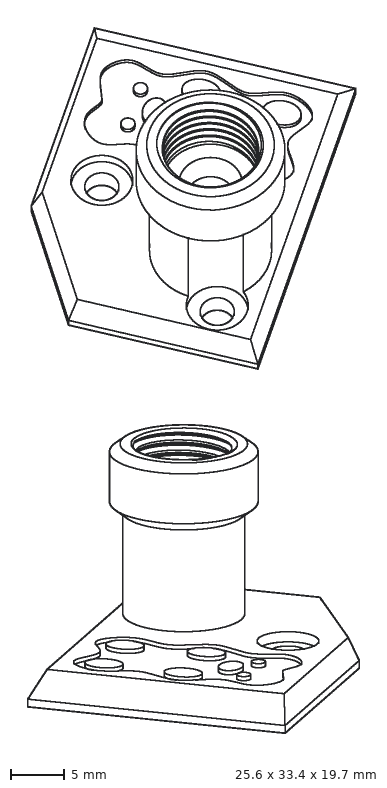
import cadquery as cq

PLATE_LENGTH_X = 25.55
PLATE_LENGTH_Y = 33.4
PLATE_TOP = 3.0
PLATE_BAND = 0.77
CUT_CORNER_X = 7.05
CUT_CORNER_Y = 11.82
BEVEL = 1.0
FAR_BEVEL = 2.67

SCREW_CENTERS = [(6.0, 14.95), (20.45, 3.97)]
SCREW_DIAMETER = 3.2
COUNTERBORE_DIAMETER = 5.8
COUNTERBORE_DEPTH = 1.0
SCREW_SEAT = PLATE_TOP - COUNTERBORE_DEPTH

TOWER_CENTER = (18.07, 9.95)
TOWER_TOP = 19.7
NECK_DIAMETER = 11.5
NECK_TOP = 13.03
HEAD_DIAMETER = 14.0
HEAD_CONE_TOP = 14.03
HEAD_BEVEL_HEIGHT = 0.77
HEAD_TOP_DIAMETER = 12.0

RELIEF_CONE_START = 12.3

SOCKET_DEPTH = 6.0
SOCKET_FLOOR = TOWER_TOP - SOCKET_DEPTH
PASSAGE_DIAMETER = 4.4
COUNTERSINK_DIAMETER = 5.95
COUNTERSINK_DEPTH = 2.0

THREAD_MINOR = 9.05
THREAD_MAJOR = 10.15
THREAD_PITCH = 1.0
GROOVE_LIFT = 0.55
THREAD_START = SOCKET_FLOOR + GROOVE_LIFT
THREAD_TURNS = 6
ENTRY_DIAMETER = 9.92
GROOVE_ROOT_WIDTH = 0.15
GROOVE_MOUTH_WIDTH = 0.77
GROOVE_OVERLAP = 0.07

POCKET_Y = 24.1
POCKET_DEPTH = 0.4
POCKET_LEFT_WAIST = 3.4
POCKET_RIGHT_WAIST = 21.6
POCKET_HALF_WAVE = [
    (2.8, 1.5),
    (2.55, 2.95),
    (4.75, 5.05),
    (7.75, 4.3),
    (11.95, 5.78),
    (16.3, 4.4),
    (19.97, 5.4),
    (23.0, 3.2),
]
PAD_LENGTH = 3.67
PAD_WIDTH = 2.77
PADS = [(12.12, 3.37), (20.1, 3.07)]
NOSE_X = 8.55
NOSE_LENGTH_X = 2.27
NOSE_LENGTH_Y = 3.05
PIN_X = 6.55
PIN_OFFSET = 2.15
PIN_DIAMETER = 1.35


def cylinder(center, diameter, bottom, top):
    return cq.Workplane("XY", origin=(*center, bottom)).circle(diameter / 2).extrude(top - bottom)


def cone(center, bottom_diameter, top_diameter, bottom, top):
    solid = cq.Solid.makeCone(
        bottom_diameter / 2, top_diameter / 2, top - bottom, pnt=cq.Vector(*center, bottom)
    )
    return cq.Workplane(solid)


def make_plate():
    outline = [
        (CUT_CORNER_X, 0),
        (PLATE_LENGTH_X, 0),
        (PLATE_LENGTH_X, PLATE_LENGTH_Y),
        (0, PLATE_LENGTH_Y),
        (0, CUT_CORNER_Y),
    ]
    plate = cq.Workplane("XY").polyline(outline).close().extrude(PLATE_TOP)
    bevel_height = PLATE_TOP - PLATE_BAND
    for index, start in enumerate(outline):
        end = outline[(index + 1) % len(outline)]
        along = cq.Vector(*end) - cq.Vector(*start)
        is_far_side = start[1] == end[1] == PLATE_LENGTH_Y
        inset = FAR_BEVEL if is_far_side else BEVEL
        overrun = along.normalized() * PLATE_LENGTH_Y
        plane = cq.Plane(
            origin=cq.Vector(*start, PLATE_TOP) - overrun,
            xDir=cq.Vector(0, 0, 1).cross(along),
            normal=along,
        )
        wedge = (
            cq.Workplane(plane)
            .polyline([(inset, 0), (0, -bevel_height), (-inset, -bevel_height), (-inset, 0)])
            .close()
            .extrude(along.Length + 2 * PLATE_LENGTH_Y)
        )
        plate = plate.cut(wedge)
    return plate


def make_pocket():
    floor = PLATE_TOP - POCKET_DEPTH
    upper = [(x, POCKET_Y + offset) for x, offset in POCKET_HALF_WAVE]
    lower = [(x, POCKET_Y - offset) for x, offset in reversed(POCKET_HALF_WAVE)]
    wave = [(POCKET_LEFT_WAIST, POCKET_Y), *upper, (POCKET_RIGHT_WAIST, POCKET_Y), *lower]
    outline = cq.Workplane("XY", origin=(0, 0, floor)).spline(wave, periodic=True).close()
    pocket = outline.extrude(POCKET_DEPTH)

    raised = cq.Workplane("XY", origin=(0, POCKET_Y, floor))
    pads = [(x, side * offset) for x, offset in PADS for side in (1, -1)]
    pins = [(PIN_X, PIN_OFFSET), (PIN_X, -PIN_OFFSET)]
    islands = [
        raised.pushPoints(pads).ellipse(PAD_LENGTH / 2, PAD_WIDTH / 2).extrude(POCKET_DEPTH),
        raised.center(NOSE_X, 0).ellipse(NOSE_LENGTH_X / 2, NOSE_LENGTH_Y / 2).extrude(POCKET_DEPTH),
        raised.pushPoints(pins).circle(PIN_DIAMETER / 2).extrude(POCKET_DEPTH),
    ]
    for island in islands:
        pocket = pocket.cut(island)
    return pocket


def make_tower():
    profile = [
        (0, 0),
        (NECK_DIAMETER / 2, 0),
        (NECK_DIAMETER / 2, NECK_TOP),
        (HEAD_DIAMETER / 2, HEAD_CONE_TOP),
        (HEAD_DIAMETER / 2, TOWER_TOP - HEAD_BEVEL_HEIGHT),
        (HEAD_TOP_DIAMETER / 2, TOWER_TOP),
        (0, TOWER_TOP),
    ]
    tower = cq.Workplane("XZ").polyline(profile).close().revolve(360, (0, 0), (0, 1))
    return tower.translate((*TOWER_CENTER, 0))


def make_screw_cut(center, head_room_top):
    shank = cylinder(center, SCREW_DIAMETER, 0, SCREW_SEAT)
    head = cylinder(center, COUNTERBORE_DIAMETER, SCREW_SEAT, head_room_top)
    return shank.union(head)


def make_relief_cone(center):
    top_diameter = COUNTERBORE_DIAMETER - 2 * (NECK_TOP - RELIEF_CONE_START)
    return cone(center, COUNTERBORE_DIAMETER, top_diameter, RELIEF_CONE_START, NECK_TOP)


def make_thread_groove():
    inner = THREAD_MINOR / 2 - GROOVE_OVERLAP
    outer = THREAD_MAJOR / 2
    flank_slope = (GROOVE_MOUTH_WIDTH - GROOVE_ROOT_WIDTH) / (THREAD_MAJOR - THREAD_MINOR)
    half_root = GROOVE_ROOT_WIDTH / 2
    half_inner = half_root + flank_slope * (outer - inner)
    helix = cq.Wire.makeHelix(THREAD_PITCH, THREAD_PITCH * THREAD_TURNS, THREAD_MINOR / 2)
    groove = (
        cq.Workplane("XZ")
        .polyline([(inner, -half_inner), (outer, -half_root), (outer, half_root), (inner, half_inner)])
        .close()
        .sweep(cq.Workplane(helix), isFrenet=True)
    )
    return groove.translate((*TOWER_CENTER, THREAD_START))


def make_threaded_bore():
    bore_top = THREAD_START + THREAD_PITCH * THREAD_TURNS
    bore = cylinder(TOWER_CENTER, THREAD_MINOR, SOCKET_FLOOR, bore_top)
    return bore.union(make_thread_groove())


def make_lead_in():
    depth = (ENTRY_DIAMETER - THREAD_MINOR) / 2
    return cone(TOWER_CENTER, THREAD_MINOR, ENTRY_DIAMETER, TOWER_TOP - depth, TOWER_TOP)


def make_passage():
    passage = cylinder(TOWER_CENTER, PASSAGE_DIAMETER, 0, SOCKET_FLOOR)
    countersink_bottom = SOCKET_FLOOR - COUNTERSINK_DEPTH
    countersink = cone(
        TOWER_CENTER, PASSAGE_DIAMETER, COUNTERSINK_DIAMETER, countersink_bottom, SOCKET_FLOOR
    )
    return passage.union(countersink)


plain_screw, shielded_screw = SCREW_CENTERS
body = make_plate().union(make_tower())
body = body.cut(make_screw_cut(plain_screw, PLATE_TOP))
body = body.cut(make_screw_cut(shielded_screw, RELIEF_CONE_START))
body = body.cut(make_relief_cone(shielded_screw))
body = body.cut(make_pocket())
body = body.cut(make_passage())
body = body.cut(make_lead_in())
result = body.cut(make_threaded_bore())